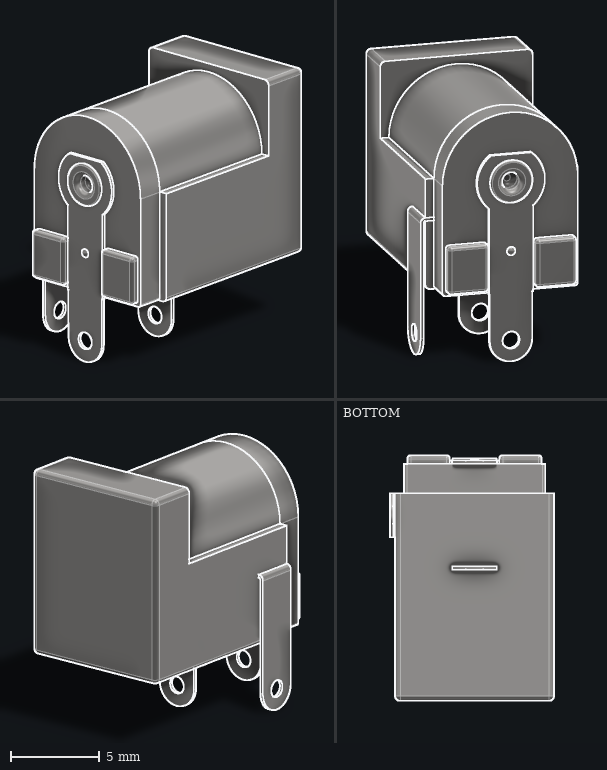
import cadquery as cq


housing_width = 9.01
housing_height = 11.01
housing_length = 11.76
flange_length = 3.0
housing_edge_radius = 0.3
barrel_radius = 4.0
axis_height = 6.51
cover_length = 1.65
cover_corner_radius = 0.18

block_width = 2.4
block_height = 2.81
block_depth = 0.5
block_spacing = 5.2
block_bottom = 0.2
block_edge_radius = 0.2

overall_height = 15.1
leg_tip = housing_height - overall_height
leg_width = 2.5
leg_hole_diameter = 1.0
leg_hole_height = leg_tip + leg_width / 2
sheet_thickness = 0.2
anchor_depth = 1.0

rear_head_diameter = 4.0
rear_head_flat = 1.6
rear_stem_width = 2.6
rear_stem_bottom = -0.08
dimple_diameter = 0.5
dimple_height = 0.1
dimple_center_height = 2.4

side_projection = 0.29
side_top = 4.23
side_bend_radius = 0.3

lower_terminal_y = 4.33

pin_shank_diameter = 2.0
pin_head_diameter = 2.5
pin_head_height = 0.14
pin_head_edge_radius = 0.09
pin_recess_diameter = 1.0
pin_recess_depth = 1.0
pin_recess_radius = 0.3

cover_face_y = -cover_length
rear_face_y = cover_face_y - sheet_thickness
pin_face_y = rear_face_y - pin_head_height


def plane_at(y):
    """XZ workplane at the given Y; a positive extrusion goes toward -Y."""
    return cq.Workplane("XZ", origin=(0, y, 0))


def axial_cylinder(diameter, y_start, length):
    """Cylinder on the barrel axis, from y_start toward -Y."""
    return plane_at(y_start).center(0, axis_height).circle(diameter / 2).extrude(length)


def arch(y_start, length):
    """Barrel section with straight sides, running from y_start toward -Y."""
    return (
        plane_at(y_start)
        .moveTo(-barrel_radius, 0)
        .lineTo(-barrel_radius, axis_height)
        .threePointArc((0, axis_height + barrel_radius), (barrel_radius, axis_height))
        .lineTo(barrel_radius, 0)
        .close()
        .extrude(length)
    )


def leg(top, thickness):
    """Upright strip centered on X = 0 with a round, drilled tip, from Y = 0 toward -Y."""
    half_width = leg_width / 2
    return (
        plane_at(0)
        .moveTo(-half_width, top)
        .lineTo(-half_width, leg_hole_height)
        .threePointArc((0, leg_tip), (half_width, leg_hole_height))
        .lineTo(half_width, top)
        .close()
        .moveTo(0, leg_hole_height)
        .circle(leg_hole_diameter / 2)
        .extrude(thickness)
    )


def make_side_terminal():
    outer_x = -housing_width / 2 - side_projection
    inner_x = outer_x + sheet_thickness
    anchor_x = -housing_width / 2 + anchor_depth
    bend_bottom = side_top - side_bend_radius
    tab = (
        plane_at(leg_width)
        .moveTo(outer_x, bend_bottom)
        .radiusArc((outer_x + side_bend_radius, side_top), side_bend_radius)
        .lineTo(anchor_x, side_top)
        .lineTo(anchor_x, side_top - sheet_thickness)
        .lineTo(outer_x + side_bend_radius, side_top - sheet_thickness)
        .radiusArc((inner_x, bend_bottom), -(side_bend_radius - sheet_thickness))
        .close()
        .extrude(leg_width)
    )
    upright = (
        leg(bend_bottom, sheet_thickness)
        .rotate((0, 0, 0), (0, 0, 1), -90)
        .translate((inner_x, leg_width / 2, 0))
    )
    return tab.union(upright)


def make_lower_terminal():
    return leg(anchor_depth, sheet_thickness).translate((0, lower_terminal_y, 0))


def make_pin():
    shank = axial_cylinder(pin_shank_diameter, 0, cover_length + sheet_thickness)
    head = axial_cylinder(pin_head_diameter, rear_face_y, pin_head_height)
    head = head.faces("<Y").edges().fillet(pin_head_edge_radius)
    recess = axial_cylinder(pin_recess_diameter, pin_face_y + pin_recess_depth, pin_recess_depth)
    recess = recess.faces(">Y").edges().fillet(pin_recess_radius)
    pin = shank.union(head).cut(recess)
    rim = cq.selectors.RadiusNthSelector(0)
    return pin.faces("<Y").edges(rim).fillet(pin_recess_radius)


def make_dimple():
    """Low spherical cap on the face of the rear terminal."""
    half_width = dimple_diameter / 2
    sphere_radius = (half_width**2 + dimple_height**2) / (2 * dimple_height)
    center_y = rear_face_y + sphere_radius - dimple_height
    sphere = (
        cq.Workplane("XY")
        .sphere(sphere_radius)
        .rotate((0, 0, 0), (1, 0, 0), 90)
        .translate((0, center_y, dimple_center_height))
    )
    keep = (
        plane_at(rear_face_y)
        .center(0, dimple_center_height)
        .rect(dimple_diameter, dimple_diameter)
        .extrude(dimple_height)
    )
    return sphere.intersect(keep)


def make_rear_terminal():
    head_bottom = -rear_head_diameter / 2
    head = axial_cylinder(rear_head_diameter, cover_face_y, sheet_thickness)
    head_limit = (
        plane_at(cover_face_y)
        .center(0, axis_height + (head_bottom + rear_head_flat) / 2)
        .rect(rear_head_diameter, rear_head_flat - head_bottom)
        .extrude(sheet_thickness)
    )
    stem_height = axis_height - rear_stem_bottom
    stem = (
        plane_at(cover_face_y)
        .center(0, rear_stem_bottom + stem_height / 2)
        .rect(rear_stem_width, stem_height)
        .extrude(sheet_thickness)
    )
    lower_leg = leg(axis_height, sheet_thickness).translate((0, cover_face_y, 0))
    plate = head.intersect(head_limit).union(stem).union(lower_leg)
    pin_hole = axial_cylinder(pin_shank_diameter, cover_face_y, sheet_thickness)
    return plate.cut(pin_hole).union(make_dimple())


def make_housing(side_terminal, lower_terminal):
    shell = plane_at(housing_length).center(0, housing_height / 2)
    shell = shell.rect(housing_width, housing_height).extrude(housing_length)
    shell = shell.edges("|Y").fillet(housing_edge_radius)
    shell = shell.faces(">Y").edges().fillet(housing_edge_radius)
    shoulder_height = housing_height - axis_height
    barrel_length = housing_length - flange_length
    clearance = (
        plane_at(barrel_length)
        .center(0, axis_height + shoulder_height / 2)
        .rect(housing_width, shoulder_height)
        .extrude(barrel_length)
    )
    barrel = arch(barrel_length, barrel_length)
    return shell.cut(clearance).union(barrel).cut(side_terminal).cut(lower_terminal)


def make_block(x):
    block = (
        plane_at(cover_face_y)
        .center(x, block_bottom + block_height / 2)
        .rect(block_width, block_height)
        .extrude(block_depth)
    )
    return block.edges("not >Y").fillet(block_edge_radius)


def make_cover():
    cover = arch(0, cover_length).edges("|Y").edges("<Z").fillet(cover_corner_radius)
    for x in (-block_spacing / 2, block_spacing / 2):
        cover = cover.union(make_block(x))
    return cover.cut(axial_cylinder(pin_shank_diameter, 0, cover_length))


side_terminal = make_side_terminal()
lower_terminal = make_lower_terminal()
rear_terminal = make_rear_terminal()
pin = make_pin()
housing = make_housing(side_terminal, lower_terminal)
cover = make_cover()

result = cq.Compound.makeCompound(
    [
        housing.val(),
        cover.val(),
        rear_terminal.val(),
        side_terminal.val(),
        lower_terminal.val(),
        pin.val(),
    ]
)